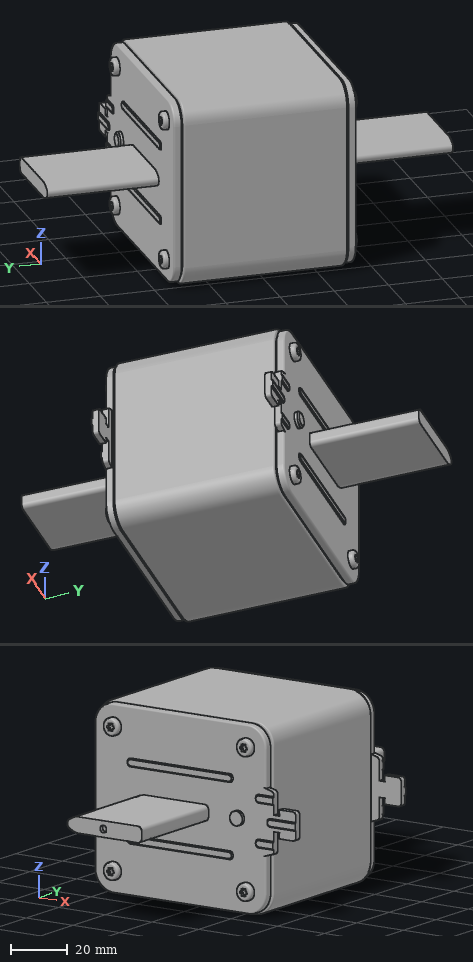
import cadquery as cq

total_length = 150.0
body_width = 75.0
body_height = 70.0
body_end = 30.2
body_corner_radius = 8.2
body_edge_radius = 0.6

plate_inset = 0.8
plate_corner_radius = 8.0
plate_back = 30.9
plate_front = 33.8
plate_edge_radius = 0.8
gasket_inset = 1.6

blade_left = -19.8
blade_right = 12.2
blade_half_thickness = 3.0
blade_edge_radius = 1.8
nose_tip_run = 0.9
nose_tip_rise = 1.6
nose_tip_radius = (nose_tip_run**2 + nose_tip_rise**2) / (2 * nose_tip_run)
nose_mid_run = 2.5
nose_mid_rise = 2.5
nose_run = 4.2
centre_hole_x = -4.4
centre_hole_diameter = 2.7
centre_hole_depth = 1.5

screw_x = 28.5
screw_z = 26.1
screw_diameter = 6.6
screw_height = 2.1
screw_edge_radius = 0.9
socket_radius = 1.0
socket_lobes = 6
socket_lobe_radius = 0.5
socket_depth = 1.2

rib_width = 3.2
rib_height = 0.5
rib_chamfer = 0.44
long_rib_half_length = 22.6
long_rib_z = 14.0
side_rib_start = 32.2
side_rib_z = 8.1
middle_rib_start = 37.2

tag_thickness = 2.4
tag_root_x = 35.2
tag_root_half_height = 12.6
tag_shoulder_x = 40.0
tag_shoulder_half_height = 11.2
tag_neck_half_height = 3.0
tag_head_x = 42.5
tag_head_half_height = 5.2
tag_tip_x = 49.5
tag_corner_radius = 1.2

disc_x = 24.8
disc_radius = 2.7
disc_height = 1.2
button_x = 24.2
button_radius = 3.0
button_height = 1.6
button_chamfer = 0.6

overlap = 0.8


def end_plane(y):
    """Workplane at the given Y facing +Y, with local axes +X and -Z."""
    return cq.Workplane(cq.Plane(origin=(0, y, 0), xDir=(1, 0, 0), normal=(0, 1, 0)))


def rounded_block(inset, corner_radius, y_start, y_end):
    """Rounded rectangle inset from the body outline, between two Y positions."""
    return (
        end_plane(y_start)
        .rect(body_width - 2 * inset, body_height - 2 * inset)
        .extrude(y_end - y_start)
        .edges("|Y")
        .fillet(corner_radius)
    )


def make_body():
    body = rounded_block(0, body_corner_radius, -body_end, body_end)
    return body.faces("<Y or >Y").edges().fillet(body_edge_radius)


def make_blade():
    half_profile = (
        end_plane(-total_length / 2)
        .moveTo(blade_left, 0)
        .radiusArc((blade_left + nose_tip_run, nose_tip_rise), nose_tip_radius)
        .lineTo(blade_left + nose_mid_run, nose_mid_rise)
        .lineTo(blade_left + nose_run, blade_half_thickness)
        .lineTo(blade_right, blade_half_thickness)
        .lineTo(blade_right, 0)
    )
    blade = half_profile.mirrorX().extrude(total_length)
    blade = blade.edges("|Y and >X").fillet(blade_edge_radius)
    hole = (
        end_plane(-total_length / 2)
        .center(centre_hole_x, 0)
        .circle(centre_hole_diameter / 2)
        .extrude(centre_hole_depth)
    )
    return blade.cut(hole)


def make_tag():
    upper = [
        (tag_root_x, tag_root_half_height),
        (tag_shoulder_x, tag_shoulder_half_height),
        (tag_shoulder_x, tag_neck_half_height),
        (tag_head_x, tag_neck_half_height),
        (tag_head_x, tag_head_half_height),
        (tag_tip_x, tag_head_half_height),
    ]
    lower = [(x, -z) for x, z in reversed(upper)]
    tag = end_plane(plate_front - tag_thickness).polyline(upper + lower).close().extrude(tag_thickness)
    tag_middle_y = plate_front - tag_thickness / 2
    for side in (-1, 1):
        shoulder = (tag_shoulder_x, tag_middle_y, side * tag_shoulder_half_height)
        tag = tag.edges(cq.selectors.NearestToPointSelector(shoulder)).fillet(tag_corner_radius)
    return tag.edges("|Y and >X").fillet(tag_corner_radius)


def make_rib(x_start, x_end, z):
    """Raised rib with chamfered sides and rounded ends."""
    length = x_end - x_start
    return (
        end_plane(plate_front - overlap)
        .center((x_start + x_end) / 2, -z)
        .slot2D(length, rib_width)
        .extrude(overlap + rib_height)
        .faces(">Y")
        .edges()
        .chamfer(rib_chamfer)
    )


def make_open_rib(x_start, x_end, z):
    """Rib whose +X end is cut square at x_end."""
    rib = make_rib(x_start, x_end + rib_width, z)
    trim_size = 2 * rib_width
    trim = cq.Workplane("YZ", origin=(x_end, plate_front, z)).rect(trim_size, trim_size).extrude(trim_size)
    return rib.cut(trim)


def make_screw(x, z):
    head = (
        end_plane(plate_front - overlap)
        .center(x, -z)
        .circle(screw_diameter / 2)
        .extrude(overlap + screw_height)
        .faces(">Y")
        .edges()
        .fillet(screw_edge_radius)
    )
    socket_floor = end_plane(plate_front + screw_height - socket_depth).center(x, -z)
    lobe_centres = socket_floor.polarArray(socket_radius, 0, 360, socket_lobes)
    lobes = lobe_centres.circle(socket_lobe_radius).extrude(socket_depth)
    core = socket_floor.circle(socket_radius).extrude(socket_depth)
    return head.cut(core).cut(lobes)


def make_end_cap():
    """Everything fixed to the +Y end of the body, except the button."""
    plate = rounded_block(plate_inset, plate_corner_radius, plate_back, plate_front)
    plate = plate.faces(">Y").edges().fillet(plate_edge_radius)
    gasket = rounded_block(gasket_inset, plate_corner_radius, body_end - overlap, plate_back + overlap)
    cap = plate.union(gasket)
    cap = cap.union(make_tag())
    cap = cap.union(make_open_rib(middle_rib_start, tag_tip_x, 0))
    for side in (-1, 1):
        cap = cap.union(make_rib(-long_rib_half_length, long_rib_half_length, side * long_rib_z))
        cap = cap.union(make_open_rib(side_rib_start, tag_shoulder_x, side * side_rib_z))
        for x in (-screw_x, screw_x):
            cap = cap.union(make_screw(x, side * screw_z))
    return cap


def make_indicator(x, radius, height):
    return end_plane(plate_front - overlap).center(x, 0).circle(radius).extrude(overlap + height)


button = make_indicator(button_x, button_radius, button_height).faces(">Y").edges().chamfer(button_chamfer)
disc = make_indicator(disc_x, disc_radius, disc_height)
rear_cap = make_end_cap()
front_cap = rear_cap.mirror("XZ")

result = make_body().union(rear_cap).union(front_cap)
result = result.union(make_blade()).union(button).union(disc.mirror("XZ"))